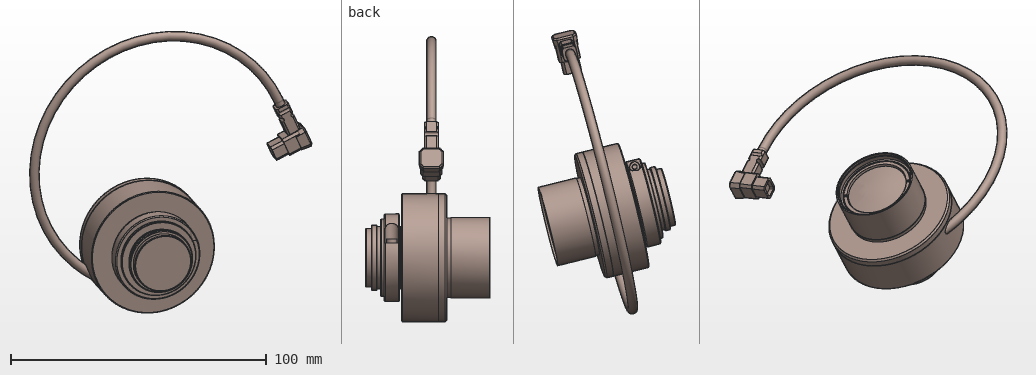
import cadquery as cq
import math


barrel_radius, barrel_end = 15.8, 15.2
neck_radius, neck_end = 15.6, 16.8
body_radius, body_end = 25.0, 34.5
body_front_chamfer, body_rear_chamfer = 0.7, 0.3
seam_x, seam_width, seam_depth = 20.0, 0.1, 0.1
rear_neck_radius, rear_neck_end = 11.5, 34.9
shoulder_radius, shoulder_end = 12.2, 35.3
clamp_radius, clamp_end, clamp_chamfer = 17.2, 41.3, 0.5
flange_radius, flange_end, flange_chamfer = 15.1, 42.7, 0.2
relief_radius, relief_end = 24.5 / 2, 44.0
thread_radius, thread_end, thread_chamfer = 12.7, 46.3, 0.3
tail_radius, tail_end, tail_chamfer = 11.5, 48.6, 0.3

rim_radius, rim_depth = 15.2, 0.9
bore_radius, bore_depth = 14.8, 2.7
gap_outer_radius, gap_inner_radius, gap_depth = 14.0, 13.6, 0.6
ring_inner_radius = 24.5 / 2
lens_radius, lens_edge_depth, lens_bulge = 11.9, 3.6, 1.5
spanner_slot_width, spanner_slot_depth = 1.0, 0.6

screw_x, screw_y = 38.3, 13.4
screw_seat_z, screw_seat_diameter = 5.7, 5.3
screw_head_diameter, screw_head_height = 4.0, 1.7
screw_socket_diameter, screw_socket_depth = 1.9, 1.1

cable_x = 22.9
cable_radius = 3.8 / 2
cable_arc_radius = 51.9
cable_arc_y, cable_arc_z = 6.9, 32.6
cable_plug_angle = 24.0
cable_body_angle = 238.0

stem_width, stem_chamfer = 5.6, 0.8
sleeve_length = 1.9
groove_drop, groove_radius, groove_depth = 4.2, 0.8, 0.5
notch_drop, notch_width, notch_bottom_offset = 7.0, 1.7, 1.6

head_back, back_chamfer = 4.2, 0.7
head_stages = (
    (9.7, 13.5, 22.3, -0.5, 5.0, 1.5),
    (8.4, 13.9, 21.5, -5.7, 0.0, 1.0),
    (7.0, 14.8, 21.0, -11.0, 0.0, 1.0),
)
socket_wall, socket_depth, socket_chamfer = 0.9, 1.7, 0.6


def disc(radius, start, end):
    """Solid cylinder on the lens axis between two X stations."""
    return cq.Workplane("YZ", origin=(start, 0, 0)).circle(radius).extrude(end - start)


def make_housing():
    body = disc(body_radius, neck_end, body_end)
    body = body.faces("<X").chamfer(body_front_chamfer).faces(">X").chamfer(body_rear_chamfer)
    seam = disc(body_radius, seam_x, seam_x + seam_width).cut(
        disc(body_radius - seam_depth, seam_x, seam_x + seam_width)
    )
    clamp = disc(clamp_radius, shoulder_end, clamp_end).edges().chamfer(clamp_chamfer)
    flange = disc(flange_radius, clamp_end, flange_end).faces(">X").chamfer(flange_chamfer)
    thread = disc(thread_radius, relief_end, thread_end).edges().chamfer(thread_chamfer)
    tail = disc(tail_radius, thread_end, tail_end).faces(">X").chamfer(tail_chamfer)
    return (
        disc(barrel_radius, 0, barrel_end)
        .union(disc(neck_radius, barrel_end, neck_end))
        .union(body.cut(seam))
        .union(disc(rear_neck_radius, body_end, rear_neck_end))
        .union(disc(shoulder_radius, rear_neck_end, shoulder_end))
        .union(clamp)
        .union(flange)
        .union(disc(relief_radius, flange_end, relief_end))
        .union(thread)
        .union(tail)
    )


def make_front_opening():
    """Cavity in front of the retaining ring and the convex lens, revolved about X."""
    gap_floor = bore_depth + gap_depth
    lens_apex = lens_edge_depth - lens_bulge
    sphere_radius = (lens_radius**2 + lens_bulge**2) / (2 * lens_bulge)
    arc_middle_y = lens_radius / 2
    arc_middle_x = lens_apex + sphere_radius - math.sqrt(sphere_radius**2 - arc_middle_y**2)
    profile = (
        cq.Workplane("XY")
        .polyline([
            (0, 0),
            (0, rim_radius),
            (rim_depth, rim_radius),
            (rim_depth, bore_radius),
            (bore_depth, bore_radius),
            (bore_depth, gap_outer_radius),
            (gap_floor, gap_outer_radius),
            (gap_floor, gap_inner_radius),
            (bore_depth, gap_inner_radius),
            (bore_depth, ring_inner_radius),
            (lens_edge_depth, lens_radius),
        ])
        .threePointArc((arc_middle_x, arc_middle_y), (lens_apex, 0))
        .close()
    )
    cavity = profile.revolve(360, (0, 0, 0), (1, 0, 0))
    slot_length = gap_inner_radius - ring_inner_radius
    for side in (-1, 1):
        slot_y = side * (gap_inner_radius + ring_inner_radius) / 2
        slot = cq.Workplane("XY").box(spanner_slot_depth, slot_length, spanner_slot_width)
        cavity = cavity.union(slot.translate((bore_depth + spanner_slot_depth / 2, slot_y, 0)))
    return cavity


def make_screw_seat():
    """Flat seat, open outwards along +Y, with a round inner end."""
    seat_height = clamp_radius - screw_seat_z
    seat = cq.Workplane("XY", origin=(screw_x, screw_y, screw_seat_z))
    inner_end = seat.circle(screw_seat_diameter / 2).extrude(seat_height)
    mouth = (
        cq.Workplane("XY", origin=(screw_x, screw_y + clamp_radius / 2, screw_seat_z))
        .rect(screw_seat_diameter, clamp_radius)
        .extrude(seat_height)
    )
    return inner_end.union(mouth)


def make_screw_head():
    head = cq.Workplane("XY", origin=(screw_x, screw_y, screw_seat_z))
    head = head.circle(screw_head_diameter / 2).extrude(screw_head_height)
    return head.faces(">Z").workplane().hole(screw_socket_diameter, screw_socket_depth)


def arc_point(angle):
    """Point on the cable centre line as (Y, Z)."""
    turn = math.radians(angle)
    return (
        cable_arc_y + cable_arc_radius * math.cos(turn),
        cable_arc_z + cable_arc_radius * math.sin(turn),
    )


def make_cable():
    middle = (cable_plug_angle + cable_body_angle) / 2
    path = (
        cq.Workplane("YZ", origin=(cable_x, 0, 0))
        .moveTo(*arc_point(cable_plug_angle))
        .threePointArc(arc_point(middle), arc_point(cable_body_angle))
    )
    return cq.Workplane(plug_plane()).circle(cable_radius).sweep(path)


def plug_plane():
    """Plane at the cable end: local Z runs back up the cable, local Y to the back of the plug."""
    turn = math.radians(cable_plug_angle)
    return cq.Plane(
        origin=(cable_x, *arc_point(cable_plug_angle)),
        xDir=(1, 0, 0),
        normal=(0, -math.sin(turn), math.cos(turn)),
    )


def make_stem():
    stem_end = (head_stages[0][1] + head_stages[0][2]) / 2
    stem = (
        cq.Workplane("XY", origin=(0, 0, -stem_end))
        .rect(stem_width, stem_width)
        .extrude(stem_end - sleeve_length)
        .edges("|Z")
        .chamfer(stem_chamfer)
    )
    for side in (-1, 1):
        groove_axis_x = side * (stem_width / 2 + groove_radius - groove_depth)
        groove = (
            cq.Workplane("XZ", origin=(groove_axis_x, 0, -groove_drop))
            .circle(groove_radius)
            .extrude(stem_width, both=True)
        )
        round_centre = side * (notch_bottom_offset + notch_width / 2)
        notch = (
            cq.Workplane("YZ", origin=(0, round_centre + side * stem_width / 2, -notch_drop))
            .slot2D(stem_width + notch_width, notch_width)
            .extrude(stem_width, both=True)
        )
        stem = stem.cut(groove).cut(notch)
    sleeve = cq.Workplane("XY", origin=(0, 0, -sleeve_length)).circle(cable_radius).extrude(sleeve_length)
    return stem.union(sleeve)


def make_head():
    head = cq.Workplane("XY")
    for width, top, bottom, front, taper, chamfer in head_stages:
        stage = (
            cq.Workplane("XZ", origin=(0, head_back, -(top + bottom) / 2))
            .rect(width, bottom - top)
            .extrude(head_back - front, taper=taper)
            .edges("not #Y")
            .chamfer(chamfer)
            .faces(">Y")
            .chamfer(back_chamfer)
        )
        head = head.union(stage)

    width, top, bottom, front, _, _ = head_stages[-1]
    socket = (
        cq.Workplane("XZ", origin=(0, front + socket_depth, -(top + bottom) / 2))
        .rect(width - 2 * socket_wall, bottom - top - 2 * socket_wall)
        .extrude(socket_depth)
        .edges("|Y")
        .chamfer(socket_chamfer)
    )
    return head.cut(socket)


def make_plug():
    plug = make_stem().union(make_head()).val()
    return cq.Workplane(plug.moved(plug_plane().location))


result = (
    make_housing()
    .cut(make_front_opening())
    .cut(make_screw_seat())
    .union(make_screw_head())
    .union(make_cable())
    .union(make_plug())
)